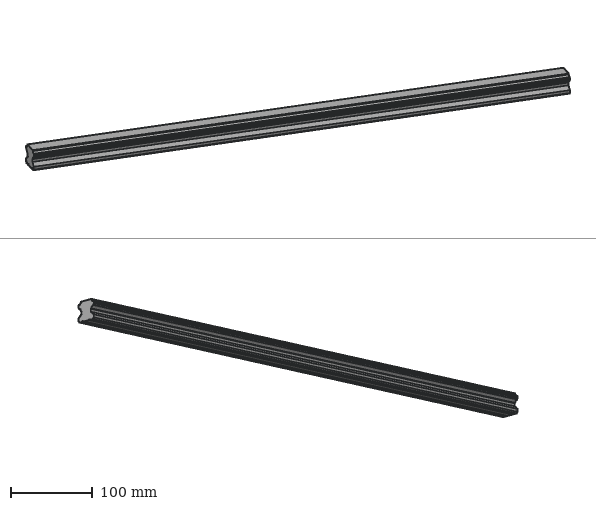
import cadquery as cq

length = 700.0
width = 28.0
height = 26.0
half_width = width / 2

top_half_width = 9.75
land_half_width = 13.0
upper_track_top = 24.5
upper_track_bottom = 22.5
head_side_top = 21.5
head_side_bottom = 19.5
lower_track_top = 17.6
lower_track_bottom = 14.0
lower_track_half_width = 9.5
track_radius = 5.0

neck_half_width = 8.8
neck_top = 13.5
neck_bottom = 9.8
base_top = 5.5
bottom_chamfer = 1.8

groove_offset = 6.4
groove_radius = 1.0


def half_section():
    """Right half of the rail section, closed along the vertical centre line."""
    return (
        cq.Workplane("XZ")
        .moveTo(0, height)
        .lineTo(top_half_width, height)
        .lineTo(top_half_width, upper_track_top)
        .radiusArc((land_half_width, upper_track_bottom), -track_radius)
        .lineTo(half_width, head_side_top)
        .lineTo(half_width, head_side_bottom)
        .lineTo(land_half_width, lower_track_top)
        .radiusArc((lower_track_half_width, lower_track_bottom), -track_radius)
        .lineTo(neck_half_width, neck_top)
        .lineTo(neck_half_width, neck_bottom)
        .lineTo(half_width, base_top)
        .lineTo(half_width, bottom_chamfer)
        .lineTo(half_width - bottom_chamfer, 0)
        .lineTo(0, 0)
        .close()
    )


def rail_body():
    """Both mirrored halves of the rail, centred along Y and standing on Z = 0."""
    right_half = half_section().extrude(length / 2, both=True)
    return right_half.union(right_half.mirror("YZ")).clean()


def underside_groove(x):
    """Full-length round cutter centred on the underside."""
    return cq.Workplane("XZ").center(x, 0).circle(groove_radius).extrude(length / 2, both=True)


result = rail_body()
for side in (-1, 1):
    result = result.cut(underside_groove(side * groove_offset))